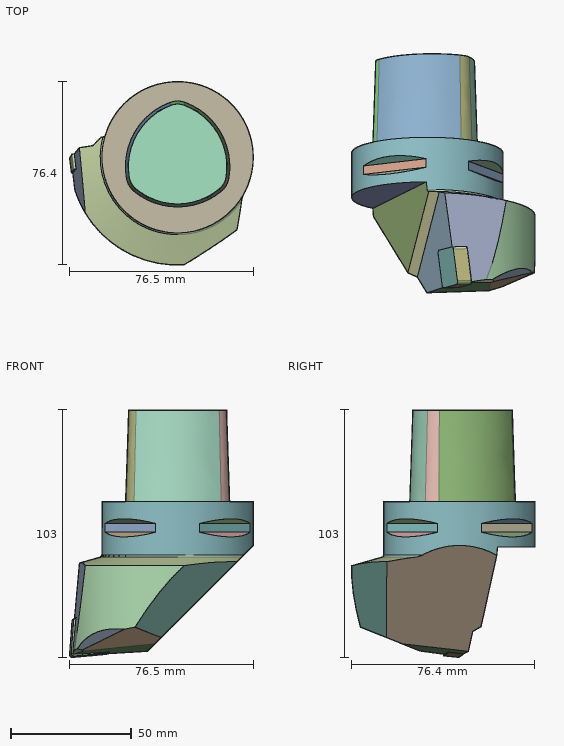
import cadquery as cq
import math


SHANK_HEIGHT = 38.1
SHANK_TAPER = math.degrees(math.atan(1 / 30))
LOBE_REACH = 23.4
FLANK_REACH = 20.7
LOBE_RADIUS = 9.3

FLANGE_RADIUS = 63.0 / 2
FLANGE_HEIGHT = 19.0
GROOVE_FLOOR = 27.8
GROOVE_Z = -10.9
GROOVE_FLOOR_WIDTH = 3.6
GROOVE_MOUTH_WIDTH = 7.5

NECK_BOTTOM = -22.1
SHOULDER_TOP_RADIUS = FLANGE_RADIUS + 0.7
SHOULDER_TOP = -23.1
HEAD_RADIUS = 44.9
SHOULDER_BOTTOM = -26.7
STOCK_BOTTOM = -72.1

RAKE_POINT = (-40.9, 4.0, -25.8)
RAKE_X = 0.12
RAKE_Z = 0.1
RAKE_NORMAL = (-RAKE_X, 1, -RAKE_Z)
LEDGE_POINT = (-31.8, 8.4, -22.7)
FLUTE_WALL_POINT = (-34.0, 5.4, -24.7)
FLUTE_WALL_NORMAL = (-1, 1.2, -1)

HEAD_TRIMS = [
    ((FLANGE_RADIUS, 0, FLANGE_RADIUS - 49.7), (1, 0, -1)),
    ((2.7, -44.8, SHOULDER_BOTTOM), (0.504, -0.705, -0.5)),
    ((-17.9, -41.3, -52.2), (0, -0.4, -1)),
    ((-28.4, -35.1, -52.7), (-0.425, -0.612, -0.668)),
    ((-40.1, -16.9, -62.2), (0.075, -0.105, -1)),
    ((-40.9, 4.0, -25.4), (-1, -0.095, 0.1)),
    ((-42.8, -13.6, -61.7), (-0.35, -0.27, -1)),
]

INSERT_SIDE = 16.3
INSERT_ANGLE = 80.0
INSERT_THICKNESS = 6.4
INSERT_NOSE = 1.2
INSERT_TIP_X = -45.1
INSERT_TIP_Z = -65.0
INSERT_EDGE_SLOPE = 0.09

STOCK_SIZE = 206.0


def outer_space(point, normal):
    """Large block on the side of a plane that its normal points to."""
    plane = cq.Plane(origin=point, normal=normal)
    return cq.Workplane(plane).rect(STOCK_SIZE, STOCK_SIZE).extrude(STOCK_SIZE)


def polar(radius, angle, center=(0, 0)):
    turn = math.radians(angle)
    return (center[0] + radius * math.cos(turn), center[1] + radius * math.sin(turn))


def make_shank():
    """Six tangent arcs: three lobe tips joined by three flatter flanks."""
    lobe_center = LOBE_REACH - LOBE_RADIUS
    straight = FLANK_REACH - LOBE_RADIUS
    flank_center = (lobe_center**2 - straight**2) / (2 * straight - lobe_center)
    half_lobe = math.degrees(
        math.atan2(
            flank_center * math.sin(math.radians(60)),
            lobe_center + flank_center * math.cos(math.radians(60)),
        )
    )

    outline = cq.Workplane("XY").moveTo(*polar(LOBE_RADIUS, 90 - half_lobe, polar(lobe_center, 90)))
    for lobe in (90, 210, 330):
        center = polar(lobe_center, lobe)
        next_center = polar(lobe_center, lobe + 120)
        outline = outline.threePointArc(
            polar(LOBE_REACH, lobe), polar(LOBE_RADIUS, lobe + half_lobe, center)
        )
        outline = outline.threePointArc(
            polar(FLANK_REACH, lobe + 60), polar(LOBE_RADIUS, lobe + 120 - half_lobe, next_center)
        )
    return outline.close().extrude(SHANK_HEIGHT, taper=SHANK_TAPER)


def make_groove(angle):
    """Straight groove with flared walls across the flange rim."""
    depth = FLANGE_RADIUS - GROOVE_FLOOR
    floor = GROOVE_FLOOR_WIDTH / 2
    mouth = GROOVE_MOUTH_WIDTH / 2
    return (
        cq.Workplane("XZ", origin=(GROOVE_FLOOR, 0, GROOVE_Z))
        .polyline([(0, -floor), (depth, -mouth), (depth, mouth), (0, floor)])
        .close()
        .extrude(FLANGE_RADIUS, both=True)
        .rotate((0, 0, 0), (0, 0, 1), angle)
    )


def make_head():
    head = (
        cq.Workplane("XZ")
        .lineTo(FLANGE_RADIUS, 0)
        .lineTo(FLANGE_RADIUS, NECK_BOTTOM)
        .tangentArcPoint((SHOULDER_TOP_RADIUS, SHOULDER_TOP), relative=False)
        .lineTo(HEAD_RADIUS, SHOULDER_BOTTOM)
        .lineTo(HEAD_RADIUS, STOCK_BOTTOM)
        .lineTo(0, STOCK_BOTTOM)
        .close()
        .revolve(360, (0, 0, 0), (0, 1, 0))
    )
    for point, normal in HEAD_TRIMS:
        head = head.cut(outer_space(point, normal))

    below_flange = outer_space((0, 0, -FLANGE_HEIGHT), (0, 0, -1))
    rake = outer_space(RAKE_POINT, RAKE_NORMAL)
    flute = rake.intersect(outer_space(FLUTE_WALL_POINT, FLUTE_WALL_NORMAL))
    ledge = outer_space(LEDGE_POINT, RAKE_NORMAL)
    return head.cut(flute.intersect(below_flange)).cut(ledge.intersect(below_flange))


def make_insert():
    tip_y = (
        RAKE_POINT[1]
        + RAKE_X * (INSERT_TIP_X - RAKE_POINT[0])
        + RAKE_Z * (INSERT_TIP_Z - RAKE_POINT[2])
    )
    end_edge = (1, RAKE_X + RAKE_Z * INSERT_EDGE_SLOPE, INSERT_EDGE_SLOPE)
    plane = cq.Plane(
        origin=(INSERT_TIP_X, tip_y, INSERT_TIP_Z),
        xDir=end_edge,
        normal=tuple(-part for part in RAKE_NORMAL),
    )
    side_x, side_y = polar(INSERT_SIDE, INSERT_ANGLE)
    return (
        cq.Workplane(plane)
        .polyline([(0, 0), (INSERT_SIDE, 0), (INSERT_SIDE + side_x, side_y), (side_x, side_y)])
        .close()
        .extrude(INSERT_THICKNESS)
        .edges(cq.selectors.ParallelDirSelector(plane.zDir))
        .fillet(INSERT_NOSE)
    )


def make_holder(insert):
    holder = make_head()
    for angle in (45, 135, 225, 315):
        holder = holder.cut(make_groove(angle))
    return holder.union(make_shank()).cut(insert)


insert = make_insert()
holder = make_holder(insert)
result = cq.Compound.makeCompound([holder.val(), insert.val()])